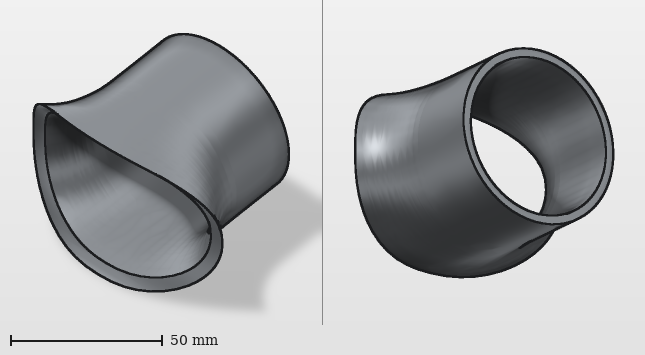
import cadquery as cq
import math

PIPE_DIAMETER = 60.3
BORE_DIAMETER = 54.3
HEADER_DIAMETER = 76.1
FLARE_HEIGHT = 20.0
PIPE_LENGTH = 26.0
MOUTH_WIDTH = 82.82
MOUTH_ROUNDNESS = 2.27
OVERRUN = 1.02
SECTION_COUNT = 48
CURVE_STEPS = 8

pipe_radius = PIPE_DIAMETER / 2
wall = (PIPE_DIAMETER - BORE_DIAMETER) / 2
header_radius = HEADER_DIAMETER / 2
flare_start = header_radius + FLARE_HEIGHT


def mouth_radius(angle):
    """Distance of the outer mouth edge from the pipe axis."""
    across = abs(math.cos(angle)) / (MOUTH_WIDTH / 2)
    upward = abs(math.sin(angle)) / pipe_radius
    power_sum = across**MOUTH_ROUNDNESS + upward**MOUTH_ROUNDNESS
    return power_sum ** (-1 / MOUTH_ROUNDNESS)


def polar_point(angle, radius, y):
    """Point at a given angle and distance around the pipe axis."""
    return cq.Vector(radius * math.cos(angle), y, radius * math.sin(angle))


def wall_section(angle):
    """Wall outline in the half plane at this angle: straight pipe, then concentric flare arcs."""
    edge_radius = mouth_radius(angle)
    edge_y = math.sqrt(header_radius**2 - (edge_radius * math.sin(angle)) ** 2)
    drop = flare_start - edge_y
    spread = edge_radius - pipe_radius
    curvature = 2 * spread / (spread**2 + drop**2)

    def wall_point(fraction, depth):
        travel = fraction * drop * OVERRUN
        sine = curvature * travel
        cosine = math.sqrt(1 - sine**2)
        radius = pipe_radius + curvature * travel**2 / (1 + cosine) - depth * cosine
        return polar_point(angle, radius, flare_start - travel - depth * sine)

    def wall_curve(depth):
        points = [wall_point(i / CURVE_STEPS, depth) for i in range(CURVE_STEPS + 1)]
        return cq.Edge.makeSpline(points)

    outer_back = polar_point(angle, pipe_radius, flare_start + PIPE_LENGTH)
    bore_back = polar_point(angle, pipe_radius - wall, flare_start + PIPE_LENGTH)
    return cq.Wire.assembleEdges([
        cq.Edge.makeLine(outer_back, wall_point(0, 0)),
        wall_curve(0),
        cq.Edge.makeLine(wall_point(1, 0), wall_point(1, wall)),
        wall_curve(wall),
        cq.Edge.makeLine(wall_point(0, wall), bore_back),
        cq.Edge.makeLine(bore_back, outer_back),
    ])


def make_adapter():
    """Closed loft through the wall sections, trimmed to the header cylinder."""
    sections = [wall_section(2 * math.pi * i / SECTION_COUNT) for i in range(SECTION_COUNT)]
    sections.append(sections[0])
    body = cq.Workplane(cq.Solid.makeLoft(sections))
    header = cq.Workplane("YZ").circle(header_radius).extrude(MOUTH_WIDTH, both=True)
    return body.cut(header)


result = make_adapter()